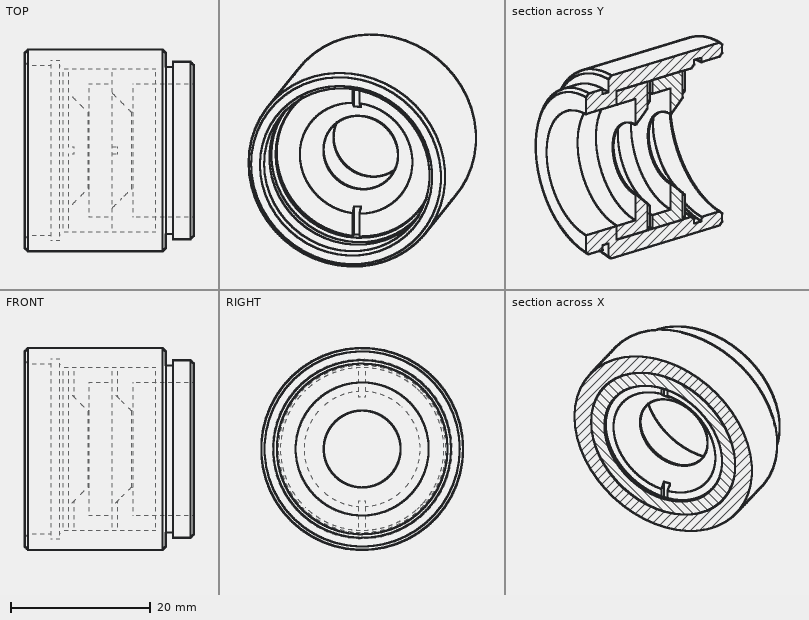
import cadquery as cq

barrel_radius = 14.5
barrel_length = 20.25
chamfer = 0.5

neck_radius = 12.0
neck_length = 1.0
flange_radius = 12.75
flange_length = 3.0
total_length = barrel_length + neck_length + flange_length

socket_radius = 12.2
socket_length = 3.75
relief_radius = 12.9
relief_end = 5.0
bore_radius = socket_radius - chamfer

ring_count = 2
ring_length = 6.25
ring_start = 6.25
ring_bore_radius = 9.55
aperture_radius = 5.5
aperture_land = 0.2
dish_radius = 8.3
dish_depth = dish_radius - aperture_radius
slot_width = 1.0
slot_depth = 0.8
bore_end = ring_start + ring_count * ring_length


def revolve_about_x(profile):
    """Turn a closed profile, drawn as (x, radius), into a solid about the X axis."""
    return profile.close().revolve(360, (0, 0, 0), (1, 0, 0))


def make_housing():
    flange_start = barrel_length + neck_length
    profile = (
        cq.Workplane("XY")
        .moveTo(0, barrel_radius - chamfer)
        .lineTo(chamfer, barrel_radius)
        .lineTo(barrel_length - chamfer, barrel_radius)
        .lineTo(barrel_length, barrel_radius - chamfer)
        .lineTo(barrel_length, neck_radius)
        .lineTo(flange_start, neck_radius)
        .lineTo(flange_start, flange_radius)
        .lineTo(total_length - chamfer, flange_radius)
        .lineTo(total_length, flange_radius - chamfer)
        .lineTo(total_length, ring_bore_radius)
        .lineTo(bore_end, ring_bore_radius)
        .lineTo(bore_end, bore_radius)
        .lineTo(relief_end + chamfer, bore_radius)
        .lineTo(relief_end, socket_radius)
        .lineTo(relief_end, relief_radius)
        .lineTo(socket_length, relief_radius)
        .lineTo(socket_length, socket_radius)
        .lineTo(chamfer, socket_radius)
        .lineTo(0, socket_radius + chamfer)
    )
    return revolve_about_x(profile)


def make_ring(start):
    """Baffle ring: 45 degree dish and a slot along Z in front, plain bore behind the aperture."""
    aperture_end = dish_depth + aperture_land
    profile = (
        cq.Workplane("XY")
        .moveTo(0, bore_radius)
        .lineTo(0, dish_radius)
        .lineTo(dish_depth, aperture_radius)
        .lineTo(aperture_end, aperture_radius)
        .lineTo(aperture_end, ring_bore_radius)
        .lineTo(ring_length, ring_bore_radius)
        .lineTo(ring_length, bore_radius)
    )
    slot = cq.Workplane("XY").box(
        slot_depth, slot_width, 2 * bore_radius, centered=(False, True, True)
    )
    return revolve_about_x(profile).cut(slot).translate((start, 0, 0))


housing = make_housing()
rings = [make_ring(ring_start + i * ring_length) for i in range(ring_count)]

result = cq.Compound.makeCompound([housing.val(), *[ring.val() for ring in rings]])